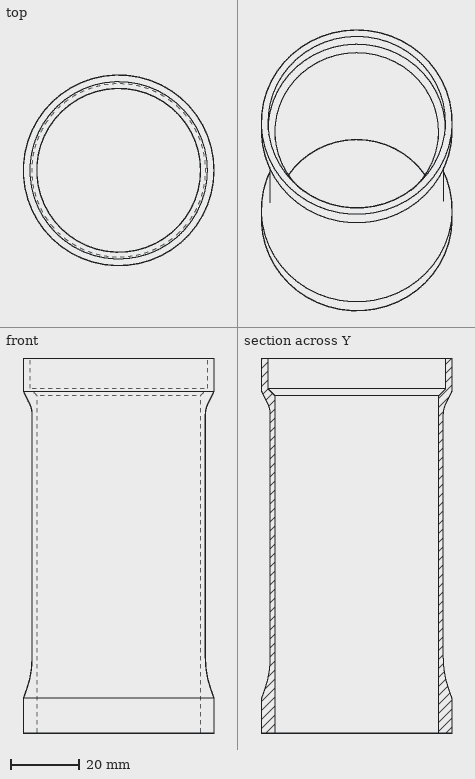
import cadquery as cq
import math

length = 110.0
collar_radius = 56.0 / 2
body_radius = 50.9 / 2
bore_radius = 48.0 / 2

top_collar_height = 9.7
top_cone_angle = math.radians(26)
top_blend_height = 3.0

bottom_collar_height = 10.3
bottom_cone_angle = math.radians(20)
bottom_blend_height = 9.5

socket_radius = 52.0 / 2
socket_depth = 8.9
seat_height = socket_radius - bore_radius


def flare_points(collar_height, cone_angle, blend_height):
    """Return (radius, distance from end) points from the collar edge to the body.

    The points are the collar edge, the cone end, the blend midpoint and the blend end.
    The blend arc is tangent to both the cone and the body.
    """
    blend_radius = blend_height / math.sin(cone_angle)
    cone_end_radius = body_radius + blend_radius * (1 - math.cos(cone_angle))
    cone_height = (collar_radius - cone_end_radius) / math.tan(cone_angle)
    cone_end = collar_height + cone_height
    blend_end = cone_end + blend_height
    middle_angle = cone_angle / 2
    middle_radius = body_radius + blend_radius * (1 - math.cos(middle_angle))
    middle = blend_end - blend_radius * math.sin(middle_angle)
    return [
        (collar_radius, collar_height),
        (cone_end_radius, cone_end),
        (middle_radius, middle),
        (body_radius, blend_end),
    ]


def make_outside():
    """Revolve the solid outer shape about Z."""
    bottom_edge, bottom_cone, bottom_middle, bottom_end = flare_points(
        bottom_collar_height, bottom_cone_angle, bottom_blend_height
    )
    top_edge, top_cone, top_middle, top_end = [
        (radius, length - distance)
        for radius, distance in flare_points(top_collar_height, top_cone_angle, top_blend_height)
    ]
    outline = (
        cq.Workplane("XZ")
        .lineTo(collar_radius, 0)
        .lineTo(*bottom_edge)
        .lineTo(*bottom_cone)
        .threePointArc(bottom_middle, bottom_end)
        .lineTo(*top_end)
        .threePointArc(top_middle, top_cone)
        .lineTo(*top_edge)
        .lineTo(collar_radius, length)
        .lineTo(0, length)
        .close()
    )
    return outline.revolve(360, (0, 0, 0), (0, 1, 0))


def make_inside():
    """Revolve the through bore, conical seat and upper socket about Z."""
    socket_floor = length - socket_depth
    outline = (
        cq.Workplane("XZ")
        .lineTo(bore_radius, 0)
        .lineTo(bore_radius, socket_floor - seat_height)
        .lineTo(socket_radius, socket_floor)
        .lineTo(socket_radius, length)
        .lineTo(0, length)
        .close()
    )
    return outline.revolve(360, (0, 0, 0), (0, 1, 0))


result = make_outside().cut(make_inside())